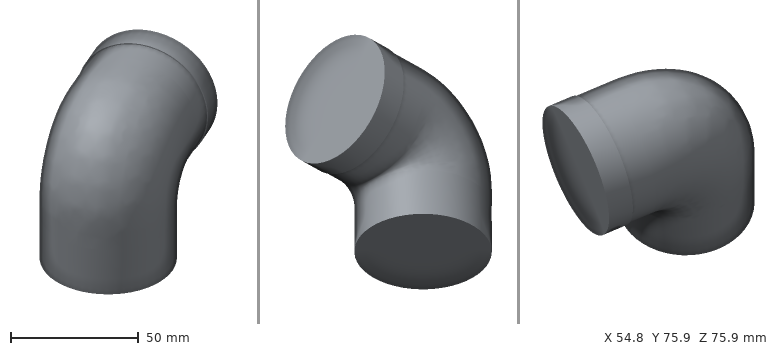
import cadquery as cq
import math


pipe_diameter = 53.8
collar_diameter = 54.8
collar_length = 10.6
back_leg_length = 21.1
down_leg_length = 20.6
inner_bend_radius = 1.0
outer_bend_radius = 45.0
arc_section_count = 9

pipe_radius = pipe_diameter / 2
collar_radius = collar_diameter / 2

pivot_offset = pipe_radius + inner_bend_radius
pivot = cq.Vector(0, pivot_offset, -pivot_offset)
outer_reach = inner_bend_radius + pipe_diameter

arc_centre_offset = outer_reach - outer_bend_radius
arc_start_angle = math.atan2(arc_centre_offset, outer_reach)
arc_end_angle = math.pi / 2 - arc_start_angle


def outer_arc_distance(angle):
    """Distance from the pivot to the outer arc, at an angle from +Z toward -Y."""
    along = arc_centre_offset * (math.cos(angle) + math.sin(angle))
    across = arc_centre_offset * (math.cos(angle) - math.sin(angle))
    return along + math.sqrt(outer_bend_radius**2 - across**2)


def bend_section(angle, outer_distance):
    """Ellipse from the inner bend to the outer one, always as wide as the pipe."""
    radial = cq.Vector(0, -math.sin(angle), math.cos(angle))
    travel = cq.Vector(0, -math.cos(angle), -math.sin(angle))
    half_height = (outer_distance - inner_bend_radius) / 2
    centre = pivot + radial * (inner_bend_radius + half_height)
    return cq.Wire.makeEllipse(half_height, pipe_radius, centre, travel, radial)


def make_bend():
    sections = [bend_section(0, outer_reach)]
    angle_step = (arc_end_angle - arc_start_angle) / (arc_section_count - 1)
    for index in range(arc_section_count):
        angle = arc_start_angle + index * angle_step
        sections.append(bend_section(angle, outer_arc_distance(angle)))
    sections.append(bend_section(math.pi / 2, outer_reach))
    return cq.Workplane(obj=cq.Solid.makeLoft(sections))


def make_down_leg():
    return (
        cq.Workplane("XY", origin=(0, 0, -pivot_offset))
        .circle(pipe_radius)
        .extrude(-down_leg_length)
    )


def make_back_leg():
    pipe = (
        cq.Workplane("XZ", origin=(0, pivot_offset, 0))
        .circle(pipe_radius)
        .extrude(-back_leg_length)
    )
    collar_start = pivot_offset + back_leg_length - collar_length
    collar = (
        cq.Workplane("XZ", origin=(0, collar_start, 0))
        .circle(collar_radius)
        .extrude(-collar_length)
    )
    return pipe.union(collar)


result = make_bend().union(make_down_leg()).union(make_back_leg())